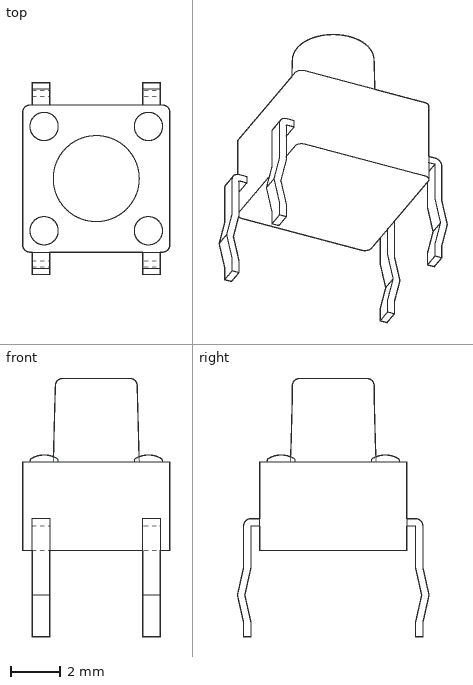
import cadquery as cq
import math


body_side = 5.99
body_height = 3.6
body_corner_radius = 0.3

button_base_diameter = 3.5
button_height = 3.4
button_draft_angle = 1.5
button_edge_radius = 0.3

rivet_diameter = 1.15
rivet_pitch = 4.24
rivet_rim_height = 0.11
rivet_dome_rise = 0.18
rivet_edge_radius = 0.12

leg_pitch = 4.5
leg_width = 0.72
leg_thickness = 0.31
leg_bend_radius = 0.31
leg_top_z = 1.3
leg_bottom_z = -3.51
leg_outer_y = 3.65
kink_outer_y = 3.9
kink_top_z = -0.7
kink_peak_z = -1.81
kink_bottom_z = 2 * kink_peak_z - kink_top_z
leg_embed = 0.5


def make_body():
    """Square housing with rounded upright corners."""
    block = cq.Workplane("XY").box(body_side, body_side, body_height, centered=(True, True, False))
    return block.edges("|Z").fillet(body_corner_radius)


def make_button():
    """Slightly tapered round button with a rounded top edge."""
    button = (
        cq.Workplane("XY", origin=(0, 0, body_height))
        .circle(button_base_diameter / 2)
        .extrude(button_height, taper=button_draft_angle)
    )
    return button.faces(">Z").edges().fillet(button_edge_radius)


def make_rivet():
    """Low cylinder under a spherical cap, with the edge between them rounded."""
    radius = rivet_diameter / 2
    sphere_radius = (radius**2 + rivet_dome_rise**2) / (2 * rivet_dome_rise)
    apex_z = rivet_rim_height + rivet_dome_rise
    arc_mid_x = radius / 2
    arc_mid_z = apex_z - sphere_radius + math.sqrt(sphere_radius**2 - arc_mid_x**2)
    rivet = (
        cq.Workplane("XZ")
        .lineTo(radius, 0)
        .lineTo(radius, rivet_rim_height)
        .threePointArc((arc_mid_x, arc_mid_z), (0, apex_z))
        .close()
        .revolve(360, (0, 0, 0), (0, 1, 0))
    )
    return rivet.faces("%CYLINDER").edges(">Z").fillet(rivet_edge_radius)


def make_leg():
    """Leg on the +Y side at X = 0: out of the housing, down, and kinked outward."""
    root_y = body_side / 2 - leg_embed
    inner_y = leg_outer_y - leg_thickness
    kink_inner_y = kink_outer_y - leg_thickness
    bend_start_y = leg_outer_y - leg_bend_radius
    bend_end_z = leg_top_z - leg_bend_radius
    bend_mid = (
        bend_start_y + leg_bend_radius * math.sin(math.pi / 4),
        bend_end_z + leg_bend_radius * math.cos(math.pi / 4),
    )
    return (
        cq.Workplane("YZ")
        .moveTo(root_y, leg_top_z)
        .lineTo(bend_start_y, leg_top_z)
        .threePointArc(bend_mid, (leg_outer_y, bend_end_z))
        .lineTo(leg_outer_y, kink_top_z)
        .lineTo(kink_outer_y, kink_peak_z)
        .lineTo(leg_outer_y, kink_bottom_z)
        .lineTo(leg_outer_y, leg_bottom_z)
        .lineTo(inner_y, leg_bottom_z)
        .lineTo(inner_y, kink_bottom_z)
        .lineTo(kink_inner_y, kink_peak_z)
        .lineTo(inner_y, kink_top_z)
        .lineTo(inner_y, leg_top_z - leg_thickness)
        .lineTo(root_y, leg_top_z - leg_thickness)
        .close()
        .extrude(leg_width / 2, both=True)
    )


result = make_body().union(make_button())

rivet = make_rivet()
back_leg = make_leg()
front_leg = back_leg.mirror("XZ")
for x_side in (-1, 1):
    leg_x = x_side * leg_pitch / 2
    rivet_x = x_side * rivet_pitch / 2
    for leg in (back_leg, front_leg):
        result = result.union(leg.translate((leg_x, 0, 0)))
    for y_side in (-1, 1):
        result = result.union(rivet.translate((rivet_x, y_side * rivet_pitch / 2, body_height)))